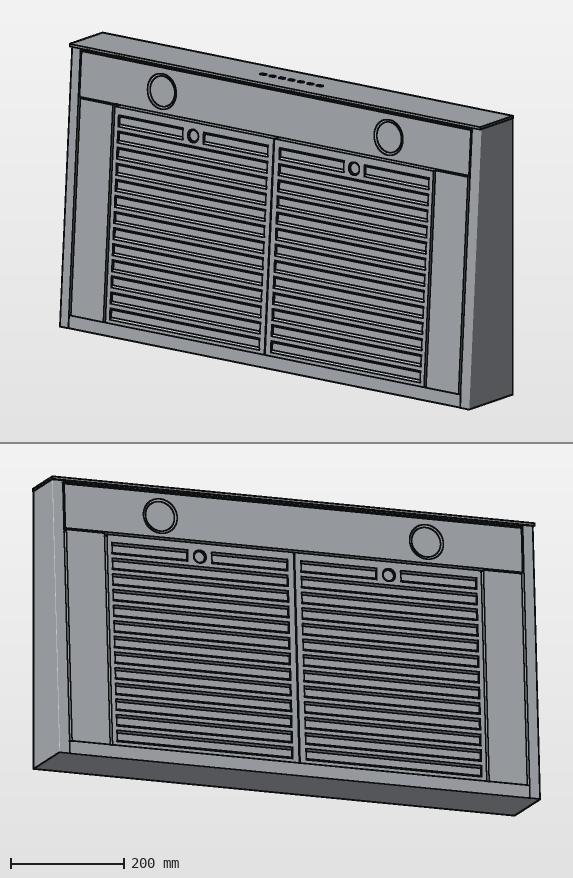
import cadquery as cq
import math

cap_width = 913
cap_depth = 96.0
total_height = 510.5
cap_thickness = 5.0
cap_side_overhang = 1.0
case_bottom_depth = 127.0
case_top_depth = 91
front_edge_radius = 3.0
case_width = cap_width - 2 * cap_side_overhang
case_height = total_height - cap_thickness

spacer_diameter = 29.0
spacer_thickness = 3.0
spacer_x = 422.0
spacer_heights = [39.0, 265]

key_count = 7
key_pitch = 21.0
key_length = 10.0
key_width = 6.0
key_depth = 1.0
key_y = -47.5

front_slope = math.atan((case_bottom_depth - case_top_depth) / case_height)
front_plane = cq.Plane(
    origin=(0, -case_bottom_depth, 0),
    xDir=(1, 0, 0),
    normal=(0, -math.cos(front_slope), math.sin(front_slope)),
)

recess_half_width = 436.0
recess_bottom = 24.0
recess_top = 504.0
recess_depth = 36.5
bottom_rail_setback = 1.0

lamp_panel_half_width = 433.0
lamp_panel_bottom = 419.0
lamp_panel_top = 501.0
lamp_x = 252.0
lamp_height = 458.0
lamp_outer_radius = 32.0
lamp_inner_radius = 27
lamp_depth = 2.0

panel_gap = 3.0
side_panel_inner_x = 359.0
side_panel_outer_x = 431.0
side_panel_top = lamp_panel_bottom - panel_gap

filter_inner_x = 1.0
filter_outer_x = 354.0
filter_top = 415.0
slot_count = 13
first_slot_height = 41.0
last_slot_height = 390.0
slot_pitch = (last_slot_height - first_slot_height) / (slot_count - 1)
slot_height = 21.0
slot_depth = 5.0
slot_wall_lean = 4.0
slot_inner_x = 13.0
slot_outer_x = 345.0
slot_length = slot_outer_x - slot_inner_x
slot_middle_x = (slot_inner_x + slot_outer_x) / 2
pull_height = last_slot_height
pull_outer_radius = 12.0
pull_inner_radius = 10.0
pull_depth = 3.0
pull_clear_width = 46


def front_block(x_start, x_end, bottom, top):
    """Block with its outer face flush with the sloping front, as deep as the recess."""
    return (
        cq.Workplane(front_plane)
        .center((x_start + x_end) / 2, (bottom + top) / 2)
        .rect(abs(x_end - x_start), top - bottom)
        .extrude(-recess_depth)
    )


def dish_cutter(x, height, mouth_radius, floor_radius, depth):
    """Round recess with a conical wall and a flat floor."""
    return (
        cq.Workplane(front_plane)
        .center(x, height)
        .circle(mouth_radius)
        .workplane(offset=-depth)
        .circle(floor_radius)
        .loft()
    )


def make_housing():
    case = (
        cq.Workplane("YZ")
        .polyline([(0, 0), (-case_bottom_depth, 0), (-case_top_depth, case_height), (0, case_height)])
        .close()
        .extrude(case_width / 2, both=True)
    )
    corner_y = -(case_bottom_depth + case_top_depth) / 2
    for side in (-1, 1):
        corner = (side * case_width / 2, corner_y, case_height / 2)
        case = case.edges(cq.selectors.NearestToPointSelector(corner)).fillet(front_edge_radius)
    cap = (
        cq.Workplane("XY")
        .workplane(offset=case_height)
        .center(0, -cap_depth / 2)
        .rect(cap_width, cap_depth)
        .extrude(cap_thickness)
    )
    keys = (
        cq.Workplane("XY")
        .workplane(offset=total_height)
        .center(0, key_y)
        .rarray(key_pitch, 9, key_count, 1)
        .rect(key_length, key_width)
        .extrude(-key_depth)
    )
    spacers = (
        cq.Workplane("XZ")
        .pushPoints([(side * spacer_x, z) for side in (-1, 1) for z in spacer_heights])
        .circle(spacer_diameter / 2)
        .extrude(-spacer_thickness)
    )
    recess = front_block(-recess_half_width, recess_half_width, recess_bottom, recess_top)
    rail_setback = (
        cq.Workplane(front_plane)
        .center(0, recess_bottom / 2)
        .rect(2 * recess_half_width, recess_bottom)
        .extrude(-bottom_rail_setback)
    )
    return case.cut(recess).cut(rail_setback).union(cap).cut(keys).union(spacers)


def make_lamp_panel():
    panel = front_block(-lamp_panel_half_width, lamp_panel_half_width, lamp_panel_bottom, lamp_panel_top)
    for x in (-lamp_x, lamp_x):
        panel = panel.cut(dish_cutter(x, lamp_height, lamp_outer_radius, lamp_inner_radius, lamp_depth))
    return panel


def make_side_panel(side):
    return front_block(side * side_panel_inner_x, side * side_panel_outer_x, recess_bottom, side_panel_top)


def slot_cutter(middle_x, height, length):
    """Pocket whose upper and lower walls lean in towards its floor."""
    half_mouth = slot_height / 2
    half_floor = half_mouth - slot_wall_lean
    section_plane = cq.Plane(
        origin=front_plane.toWorldCoords((middle_x - length / 2, height, 0)),
        xDir=front_plane.zDir,
        normal=(1, 0, 0),
    )
    return (
        cq.Workplane(section_plane)
        .polyline([(0, -half_mouth), (0, half_mouth), (-slot_depth, half_floor), (-slot_depth, -half_floor)])
        .close()
        .extrude(length)
    )


def make_filter(side):
    body = front_block(side * filter_inner_x, side * filter_outer_x, recess_bottom, filter_top)
    middle_x = side * slot_middle_x
    for row in range(slot_count - 1):
        body = body.cut(slot_cutter(middle_x, first_slot_height + row * slot_pitch, slot_length))
    short_length = (slot_length - pull_clear_width) / 2
    short_offset = (pull_clear_width + short_length) / 2
    for offset in (-short_offset, short_offset):
        body = body.cut(slot_cutter(middle_x + offset, pull_height, short_length))
    return body.cut(dish_cutter(middle_x, pull_height, pull_outer_radius, pull_inner_radius, pull_depth))


housing = make_housing()
lamp_panel = make_lamp_panel()
side_panels = [make_side_panel(side) for side in (-1, 1)]
filters = [make_filter(side) for side in (-1, 1)]

result = cq.Compound.makeCompound(
    [housing.val(), lamp_panel.val()] + [body.val() for body in side_panels + filters]
)